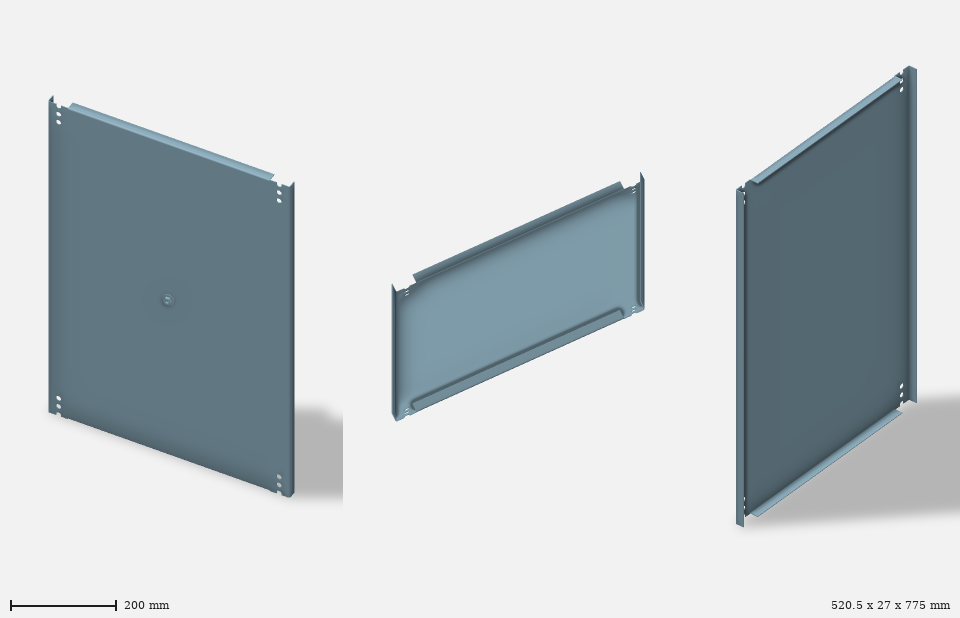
import cadquery as cq
import math

panel_height = 775.0
panel_width = 520.5
flange_depth = 19.0
sheet = 1.5
bend_radius = 3.5
end_flange_length = 434.0

hole_diameter = 11.0
hole_offset_x = 237.0
hole_pitch = 20.0
notch_center_inset = 3.0
holes_per_corner = 2

overall_depth = 27.0
washer_diameter = 25.5
washer_bore = 12.0
washer_thickness = 1.5
nut_across_flats = 15.0
nut_bore = 8.0
nut_height = overall_depth - flange_depth - washer_thickness
nut_across_corners = nut_across_flats / math.cos(math.pi / 6)


def make_channel(width, height, axis):
    """U channel along the given axis, with its back on y = 0 and its legs toward +Y."""
    inner_width = width - 2 * sheet if axis == "Z" else width
    inner_height = height - 2 * sheet if axis == "X" else height
    base = cq.Workplane("XY")
    centered = (True, False, True)
    outside = base.box(width, flange_depth, height, centered).edges(f"|{axis}").edges("<Y")
    outside = outside.fillet(bend_radius)
    inside = base.box(inner_width, flange_depth, inner_height, centered).edges(f"|{axis}").edges("<Y")
    inside = inside.fillet(bend_radius - sheet).translate((0, sheet, 0))
    return outside.cut(inside)


def make_corner_cutters():
    """Round holes and open notches at all four corners."""
    notch_center_z = panel_height / 2 - notch_center_inset
    hole_rows = [notch_center_z - hole_pitch * (i + 1) for i in range(holes_per_corner)]
    hole_points = []
    notch_points = []
    for x in (-hole_offset_x, hole_offset_x):
        for side in (-1, 1):
            hole_points += [(x, side * z) for z in hole_rows]
            hole_points.append((x, side * notch_center_z))
            notch_points.append((x, side * (notch_center_z + hole_diameter / 2)))
    front = cq.Workplane("XZ")
    holes = front.pushPoints(hole_points).circle(hole_diameter / 2).extrude(-flange_depth)
    notches = front.pushPoints(notch_points).rect(hole_diameter, hole_diameter).extrude(-flange_depth)
    return holes.union(notches)


def make_panel():
    middle = cq.Workplane("XY").box(end_flange_length, 2 * flange_depth, panel_height)
    sides = make_channel(panel_width, panel_height, "Z").cut(middle)
    ends = make_channel(end_flange_length, panel_height, "X")
    return sides.union(ends).cut(make_corner_cutters())


def make_washer():
    disc = cq.Workplane("XZ").circle(washer_diameter / 2).circle(washer_bore / 2)
    return disc.extrude(washer_thickness)


def make_nut():
    """Hexagonal nut with corners pointing along X."""
    seat = cq.Workplane("XZ", origin=(0, -washer_thickness, 0))
    return seat.polygon(6, nut_across_corners).circle(nut_bore / 2).extrude(nut_height)


panel = make_panel()
washer = make_washer()
nut = make_nut()

result = cq.Compound.makeCompound([panel.val(), washer.val(), nut.val()])